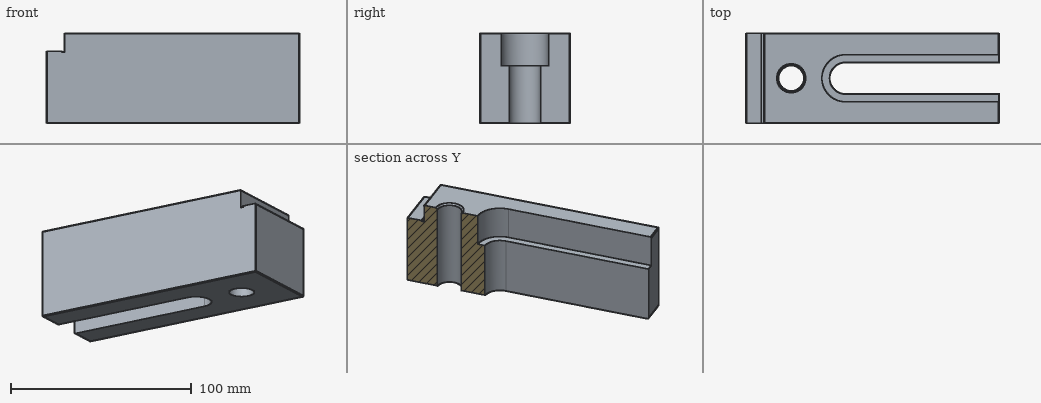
import cadquery as cq

length = 140.0
width = 50.0
height = 50.0
edge_chamfer = 0.5

step_length = 10.0
step_depth = 10.0
relief_width = 1.4
relief_depth = 0.5

hole_x = 25.0
hole_diameter = 14.0
countersink = 1.0

slot_centre_x = 55.0
slot_width = 17.4
recess_width = 26.0
recess_depth = 18.0


def open_slot(slot_size, depth):
    """Cutter for a slot with a round inner end, sunk from the top face."""
    radius = slot_size / 2
    return (
        cq.Workplane("XY", origin=(0, 0, height - depth))
        .moveTo(length, -radius)
        .lineTo(slot_centre_x, -radius)
        .threePointArc((slot_centre_x - radius, 0), (slot_centre_x, radius))
        .lineTo(length, radius)
        .close()
        .extrude(depth)
    )


ledge_z = height - step_depth
block = (
    cq.Workplane("XZ", origin=(0, width / 2, 0))
    .polyline([(0, 0), (length, 0), (length, height),
               (step_length, height), (step_length, ledge_z), (0, ledge_z)])
    .close()
    .extrude(width)
)

block = block.faces("<X or >X or <Z or >Z").edges().chamfer(edge_chamfer)

relief = cq.Workplane("XY", origin=(step_length - relief_width, 0, ledge_z - relief_depth)).box(
    relief_width, width, relief_depth, centered=(False, True, False)
)

hole = cq.Workplane("XY", origin=(hole_x, 0, 0)).circle(hole_diameter / 2).extrude(height)
hole_mouth = cq.Workplane(
    cq.Solid.makeCone(
        hole_diameter / 2, hole_diameter / 2 + countersink, countersink,
        pnt=cq.Vector(hole_x, 0, height - countersink),
    )
)

slot = open_slot(slot_width, height)
recess = open_slot(recess_width, recess_depth)

result = block.cut(relief).cut(hole).cut(hole_mouth).cut(slot).cut(recess)